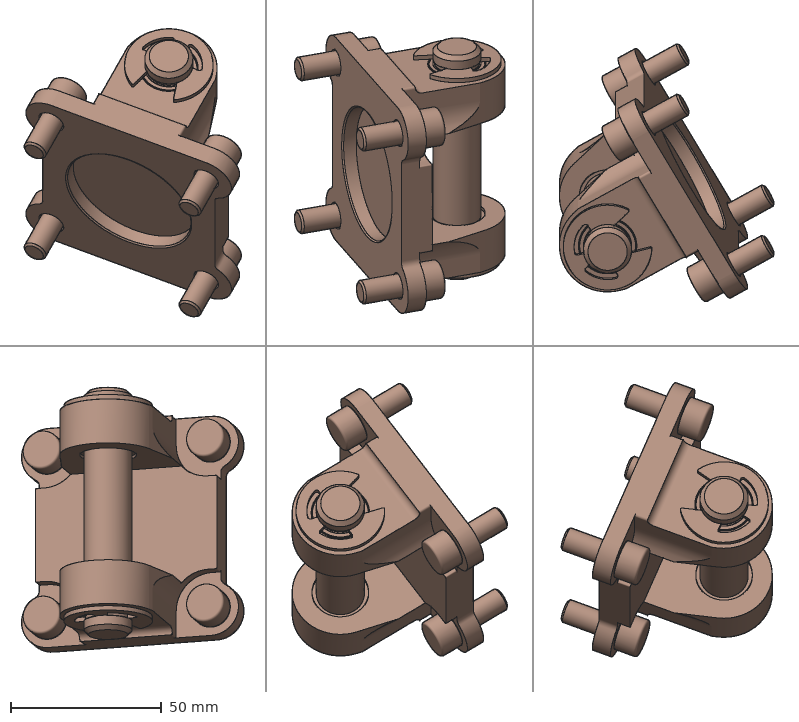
import cadquery as cq
import math


flange_size = 75.0
screw_spacing = 56.5
ear_thickness = 6.5
pad_thickness = 11.0
waist_width = 62.8
ear_blend_radius = 2.5
screw_hole_diameter = 9.0
recess_diameter = 45.0
recess_depth = 5.0
recess_chamfer = 0.5

half_size = flange_size / 2
half_waist = waist_width / 2
screw_offset = screw_spacing / 2
ear_radius = half_size - screw_offset

pin_height = 32.0
lug_radius = 16.0
lug_gap = 40.0
lug_span = 70.0
lug_base_width = 38.4
lug_flare_angle = 14.5
lug_thickness = (lug_span - lug_gap) / 2
lug_top = pin_height + lug_radius
cove_radius = (flange_size - lug_span) / 2

ring_diameter = 18.56
ring_height = 0.2
counterbore_diameter = 18.76
counterbore_depth = 1.0
ditch_chamfer = 0.3

pocket_edge = lug_radius
pocket_radius = screw_offset - pocket_edge
pad_top_round = 0.75
pad_side_round = 0.4

pin_diameter = 16.0
pin_length = 83.0
pin_chamfer = 1.5
groove_diameter = 15.0

clip_thickness = 1.5
clip_start = 35.4
clip_radius = 14.7
clip_mouth_half_width = 3.95
clip_mouth_angle = 15.0
clip_tip_round = 0.5
clip_slot_radius = 11.1
clip_slot_angle = 15.0
clip_slot_floor = 1.94
clip_slot_round = 0.8

screw_diameter = 8.0
screw_length = 20.0
screw_tip_chamfer = 0.68
head_diameter = 13.0
head_height = 8.0
head_round = 0.8
head_foot_chamfer = 0.2

SIGNS = (-1, 1)
CORNERS = [(sx * screw_offset, sz * screw_offset) for sx in SIGNS for sz in SIGNS]


def along_y(y):
    """Sketch plane at height y, with local x along +X, local y along +Z and normal -Y."""
    return cq.Workplane("XZ", origin=(0, y, 0))


def rod(x, z, y_start, y_end, diameter):
    """Round bar parallel to Y."""
    return along_y(y_end).center(x, z).circle(diameter / 2).extrude(y_end - y_start)


def mirrored_to_four(quarter):
    """Join a quarter, which lies at +X +Z, with its mirror images."""
    half = quarter.union(quarter.mirror("YZ"))
    return half.union(half.mirror("XY"))


def point_at(centre, radius, angle):
    """Point on a circle, with the angle in radians."""
    return (centre[0] + radius * math.cos(angle), centre[1] + radius * math.sin(angle))




def make_flange_plate():
    """Waisted square plate with a round ear at each corner, blended into the waist."""
    ear_centre = (screw_offset, screw_offset)
    blend_x = half_waist + ear_blend_radius
    blend_drop = math.sqrt((ear_radius + ear_blend_radius) ** 2 - (blend_x - screw_offset) ** 2)
    blend_centre = (blend_x, screw_offset - blend_drop)
    join_angle = math.atan2(-blend_drop, blend_x - screw_offset)
    ear_middle = point_at(ear_centre, ear_radius, (math.pi / 2 + join_angle) / 2)
    join = point_at(ear_centre, ear_radius, join_angle)
    blend_middle = point_at(blend_centre, ear_blend_radius, math.pi + join_angle / 2)
    quarter = (
        along_y(ear_thickness)
        .lineTo(0, half_size)
        .lineTo(screw_offset, half_size)
        .threePointArc(ear_middle, join)
        .threePointArc(blend_middle, (half_waist, blend_centre[1]))
        .lineTo(half_waist, 0)
        .close()
        .extrude(ear_thickness)
    )
    return mirrored_to_four(quarter)


def make_pad():
    """Cross-shaped raised centre of the flange, before the round pockets are cut in its corners."""
    quarter = (
        along_y(pad_thickness)
        .lineTo(0, half_size)
        .lineTo(pocket_edge - pad_top_round, half_size)
        .radiusArc((pocket_edge, half_size - pad_top_round), pad_top_round)
        .lineTo(pocket_edge, screw_offset)
        .lineTo(screw_offset, pocket_edge)
        .lineTo(half_waist - pad_side_round, pocket_edge)
        .radiusArc((half_waist, pocket_edge - pad_side_round), pad_side_round)
        .lineTo(half_waist, 0)
        .close()
        .extrude(pad_thickness)
    )
    return mirrored_to_four(quarter)


def make_lug():
    """Upper lug: a round eye whose inner part flares towards the flange and outer part has flat sides."""
    flare = math.radians(lug_flare_angle)
    tangent_x = lug_radius * math.cos(flare)
    tangent_y = pin_height + lug_radius * math.sin(flare)
    half_base = lug_base_width / 2
    flare_end_y = tangent_y - (half_base - tangent_x) / math.tan(flare)
    lug = (
        cq.Workplane("XY", origin=(0, 0, lug_gap / 2))
        .moveTo(-half_base, pad_thickness)
        .lineTo(-half_base, flare_end_y)
        .lineTo(-tangent_x, tangent_y)
        .threePointArc((0, lug_top), (tangent_x, tangent_y))
        .lineTo(half_base, flare_end_y)
        .lineTo(half_base, pad_thickness)
        .close()
        .extrude(lug_thickness)
    )
    side_cut = cq.Workplane("XY").box(
        half_base, lug_top, lug_thickness, centered=(False, False, False)
    )
    side_cut = side_cut.translate((pocket_edge, 0, screw_offset))
    return lug.cut(side_cut).cut(side_cut.mirror("YZ")).union(make_cove())


def make_cove():
    """Concave round between the outer face of the upper lug and the pad."""
    return (
        cq.Workplane("YZ", origin=(-pocket_edge, 0, 0))
        .moveTo(pad_thickness, lug_span / 2)
        .lineTo(pad_thickness + cove_radius, lug_span / 2)
        .radiusArc((pad_thickness, half_size), cove_radius)
        .close()
        .extrude(2 * pocket_edge)
    )


def make_hole_ring(face_z):
    """Ring around the pin hole that stands proud of the outer face of the upper lug."""
    return (
        cq.Workplane("XY", origin=(0, pin_height, face_z))
        .circle(ring_diameter / 2)
        .extrude(ring_height)
    )


def make_ring_ditch(face_z):
    """Ditch around the foot of the ring, with a chamfered outer wall."""
    inner_radius = ring_diameter / 2
    outer_radius = counterbore_diameter / 2
    return (
        cq.Workplane("XZ", origin=(0, pin_height, face_z))
        .moveTo(inner_radius, 0)
        .lineTo(inner_radius, -ditch_chamfer)
        .lineTo(outer_radius, -ditch_chamfer)
        .lineTo(outer_radius + ditch_chamfer, 0)
        .close()
        .revolve(360, (0, 0, 0), (0, 1, 0))
    )


def make_counterbore(face_z):
    """Counterbore around the pin hole in the inner face of the upper lug."""
    return (
        cq.Workplane("XY", origin=(0, pin_height, face_z))
        .circle(counterbore_diameter / 2)
        .extrude(counterbore_depth)
    )


def make_recess():
    """Round locating recess in the mating face, with a chamfered mouth."""
    radius = recess_diameter / 2
    return (
        cq.Workplane("XY")
        .lineTo(radius + recess_chamfer, 0)
        .lineTo(radius, recess_chamfer)
        .lineTo(radius, recess_depth)
        .lineTo(0, recess_depth)
        .close()
        .revolve(360, (0, 0, 0), (0, 1, 0))
    )


def make_bracket():
    lug_face = lug_span / 2
    lug = make_lug().cut(make_ring_ditch(lug_face)).union(make_hole_ring(lug_face))
    lug = lug.cut(make_counterbore(lug_gap / 2))
    bracket = make_flange_plate().union(make_pad()).union(lug).union(lug.mirror("XY"))
    bracket = bracket.cut(make_recess())
    for x, z in CORNERS:
        bracket = bracket.cut(rod(x, z, 0, ear_thickness, screw_hole_diameter))
        bracket = bracket.cut(rod(x, z, ear_thickness, lug_top, 2 * pocket_radius))
    pin_hole = (
        cq.Workplane("XY", origin=(0, pin_height, 0))
        .circle(pin_diameter / 2)
        .extrude(pin_length / 2, both=True)
    )
    return bracket.cut(pin_hole)




def make_pin():
    """Chamfered round pin with a groove for a clip near each end."""
    radius = pin_diameter / 2
    pin = (
        cq.Workplane("XY", origin=(0, pin_height, -pin_length / 2))
        .circle(radius)
        .extrude(pin_length)
        .faces("<Z or >Z")
        .chamfer(pin_chamfer)
    )
    groove = (
        cq.Workplane("XY", origin=(0, pin_height, clip_start))
        .circle(radius)
        .circle(groove_diameter / 2)
        .extrude(clip_thickness)
    )
    return pin.cut(groove).cut(groove.mirror("XY"))




def make_clip_slot():
    """Slot on the +X side of the clip, open to the pin, between two of the gripping tabs."""
    angle = math.radians(clip_slot_angle)
    reach = clip_slot_radius / math.cos(angle)
    wedge = (
        cq.Workplane("XY")
        .moveTo(clip_slot_floor * math.tan(angle), clip_slot_floor)
        .lineTo(reach * math.tan(angle), reach)
        .lineTo(reach, reach)
        .lineTo(reach, clip_slot_floor)
        .close()
        .extrude(clip_thickness)
    )
    disc = cq.Workplane("XY").circle(clip_slot_radius).extrude(clip_thickness)
    slot = wedge.intersect(disc)
    return slot.edges("|Z and (>X or >Y)").fillet(clip_slot_round)


def make_clip():
    """Snap-on E-clip at the +Z end of the pin, with its mouth towards the flange."""
    angle = math.radians(clip_mouth_angle)
    mouth_end_half_width = clip_mouth_half_width + clip_radius * math.tan(angle)
    mouth = (
        cq.Workplane("XY")
        .moveTo(-clip_mouth_half_width, 0)
        .lineTo(-mouth_end_half_width, -clip_radius)
        .lineTo(mouth_end_half_width, -clip_radius)
        .lineTo(clip_mouth_half_width, 0)
        .close()
        .extrude(clip_thickness)
    )
    clip = cq.Workplane("XY").circle(clip_radius).extrude(clip_thickness).cut(mouth)
    clip = clip.edges("|Z and <Y").fillet(clip_tip_round)
    slot = make_clip_slot()
    clip = clip.cut(slot).cut(slot.mirror("YZ"))
    bore = cq.Workplane("XY").circle(groove_diameter / 2).extrude(clip_thickness)
    return clip.cut(bore).translate((0, pin_height, clip_start))




def make_screw(x, z):
    """Cylinder-head screw pointing to -Y, with its head seated on an ear."""
    head = rod(x, z, ear_thickness, ear_thickness + head_height, head_diameter)
    head = head.faces("<Y").chamfer(head_foot_chamfer).faces(">Y").edges().fillet(head_round)
    shank = rod(x, z, ear_thickness - screw_length, ear_thickness, screw_diameter)
    shank = shank.faces("<Y").chamfer(screw_tip_chamfer)
    return head.union(shank)


bracket = make_bracket()
pin = make_pin()
upper_clip = make_clip()
clips = [upper_clip, upper_clip.mirror("XY")]
screws = [make_screw(x, z) for x, z in CORNERS]

result = cq.Compound.makeCompound(
    [bracket.val(), pin.val(), *[clip.val() for clip in clips], *[screw.val() for screw in screws]]
)